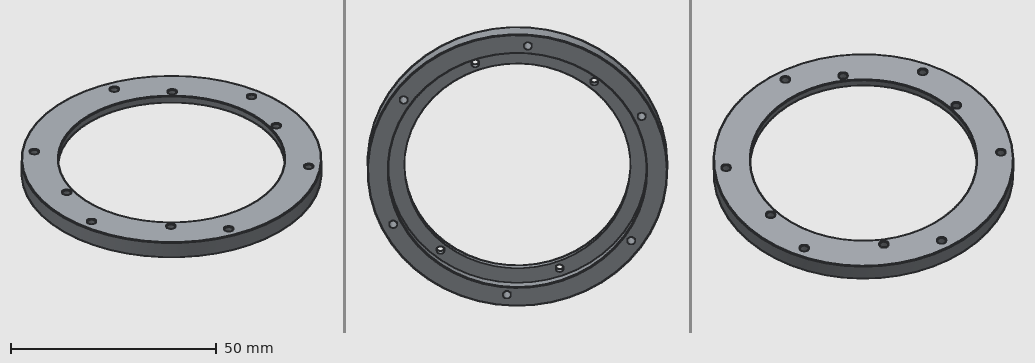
import cadquery as cq

outer_diameter = 73.0
bore_diameter = 55.0
thickness = 4.5
edge_chamfer = 0.2

lip_thickness = 2.0
seat_diameter = 62.8

hole_diameter = 2.0
hole_chamfer = 0.2

outer_circle_radius = 33.5
outer_hole_count = 6
outer_start_angle = -0.2

inner_circle_radius = 29.35
inner_start_angle = 95.0
pair_step = 60.0


def ring():
    """Flat ring with chamfered rims and a seat opened from below."""
    disc = cq.Workplane("XY").circle(outer_diameter / 2).extrude(thickness)
    body = disc.faces(">Z").workplane().hole(bore_diameter)
    body = body.edges("%CIRCLE").edges(">Z").chamfer(edge_chamfer)
    seat = cq.Workplane("XY").circle(seat_diameter / 2).extrude(thickness - lip_thickness)
    return body.cut(seat).edges("%CIRCLE").edges("<Z").chamfer(edge_chamfer)


def hole_cutter(radius, angle):
    """Through-hole tool with a conical mouth, at a polar position."""
    hole_radius = hole_diameter / 2
    mouth_radius = hole_radius + hole_chamfer
    profile = [
        (0, 0),
        (hole_radius, 0),
        (hole_radius, thickness - hole_chamfer),
        (mouth_radius, thickness),
        (0, thickness),
    ]
    tool = cq.Workplane("XZ").polyline(profile).close().revolve(360, (0, 0), (0, 1))
    return tool.translate((radius, 0, 0)).rotate((0, 0, 0), (0, 0, 1), angle)


outer_angles = [outer_start_angle + i * 360 / outer_hole_count for i in range(outer_hole_count)]
inner_angles = [
    inner_start_angle + step + half_turn
    for step in (0, pair_step)
    for half_turn in (0, 180)
]

result = ring()
for hole_angle in outer_angles:
    result = result.cut(hole_cutter(outer_circle_radius, hole_angle))
for hole_angle in inner_angles:
    result = result.cut(hole_cutter(inner_circle_radius, hole_angle))